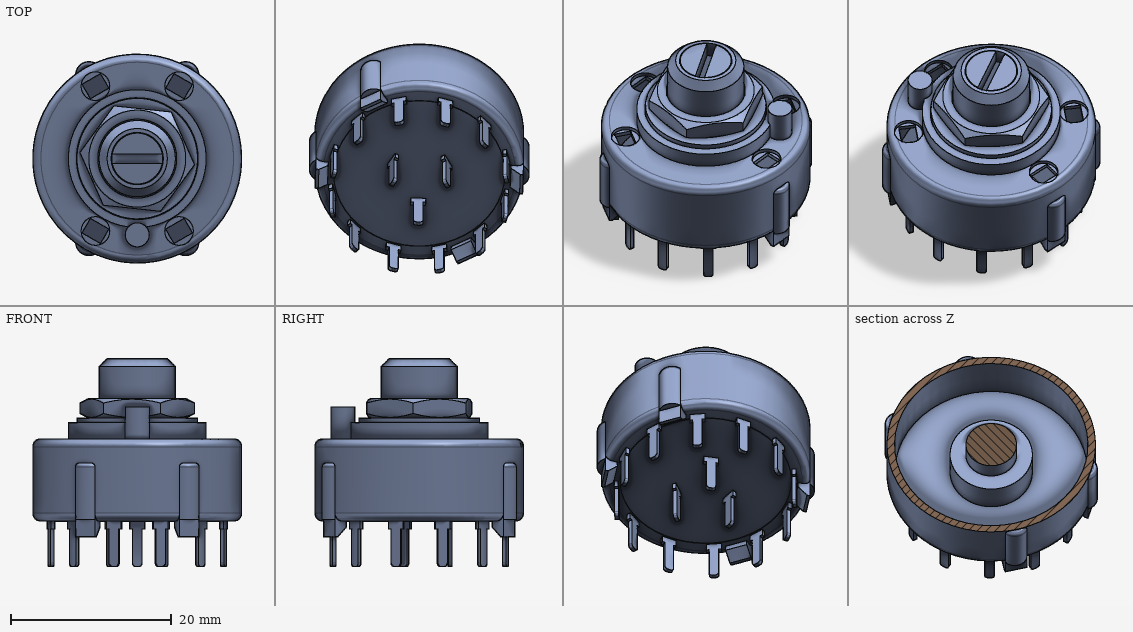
import cadquery as cq
import math

case_dia = 26.0
case_height = 10.25
case_rounding = 1.0
wall = 1.0
base_step_dia = 21.32
base_step_height = 0.08

collar_dia = 17.15
collar_top = 12.25
bushing_dia = 9.5
bushing_top = 20.23
bushing_chamfer = 1.0
bore_dia = 6.5

boss_dia = 3.0
boss_top = 14.22
boss_y = -9.5

latch_angle = 60.0
latch_half_width = 1.4
latch_face_radius = 12.92
latch_skew = math.radians(6.2)
rib_outer_radius = 13.68
rib_bottom = 0.18
rib_top = 7.25
rib_rounding = 0.5
rib_depth = 1.82
hook_bottom = -1.95
hook_slope_top = -0.73
hook_top_depth = 1.55
hook_bottom_depth = 0.4

access_radius = 10.4
counterbore_dia = 3.55
counterbore_depth = 0.5
window_width = 2.65
window_length = 2.08

terminal_width = 1.2
terminal_thickness = 0.5
terminal_bottom = -5.67
terminal_tip_radius = 0.45
shoulder_width = 1.87
shoulder_height = 1.0
outer_terminals = 12
outer_terminal_radius = 11.1
outer_terminal_start = 15.0
common_terminals = 3
common_terminal_radius = 3.85
common_terminal_start = 90.0

shaft_dia = 6.35
rotor_dia = 10.25
rotor_top = 5.02
slot_width = 1.17
slot_depth = 2.0

washer_dia = 15.0
washer_recess_dia = 15.15
washer_bore_dia = 10.32
washer_thickness = 1.0
washer_top = 12.82

nut_sides = 6
nut_across_flats = 12.43
nut_height = 2.45
nut_bore_dia = 9.83
nut_turn = -6.1
nut_face_dia = 12.06
nut_chamfer_height = 0.57


def cylinder(diameter, bottom, top):
    """Upright cylinder on the Z axis between two heights."""
    return cq.Workplane("XY").workplane(offset=bottom).circle(diameter / 2).extrude(top - bottom)


def turned(shape, angle):
    """Shape rotated about the Z axis by an angle in degrees."""
    return shape.rotate((0, 0, 0), (0, 0, 1), angle)


def four_latch_places(shape):
    """Copies of a shape that points along +X, turned to one latch and mirrored to the other three."""
    first = turned(shape, latch_angle)
    pair = [first, first.mirror("YZ")]
    return pair + [place.mirror("XZ") for place in pair]


def latch_rib():
    """Upright rib with a round outer face, pointing along +X, its sides skewed to the face."""
    inner = latch_face_radius - rib_depth
    shift = rib_depth * math.tan(latch_skew)
    return (
        cq.Workplane("XY")
        .workplane(offset=rib_bottom)
        .moveTo(inner, -latch_half_width - shift)
        .lineTo(latch_face_radius, -latch_half_width)
        .threePointArc((rib_outer_radius, 0), (latch_face_radius, latch_half_width))
        .lineTo(inner, latch_half_width - shift)
        .close()
        .extrude(rib_top - rib_bottom)
        .faces(">Z")
        .edges("%CIRCLE")
        .fillet(rib_rounding)
    )


def latch_hook():
    """Flat-faced hook under the rib, its inner side sloping outward toward the tip."""
    shift = hook_top_depth * math.tan(latch_skew)
    inner = latch_face_radius - hook_top_depth
    block = (
        cq.Workplane("XY")
        .workplane(offset=hook_bottom)
        .polyline([
            (inner, -latch_half_width - shift),
            (latch_face_radius, -latch_half_width),
            (latch_face_radius, latch_half_width),
            (inner, latch_half_width - shift),
        ])
        .close()
        .extrude(rib_bottom - hook_bottom)
    )
    slope = (
        cq.Workplane("XZ")
        .polyline([
            (inner, hook_slope_top),
            (latch_face_radius - hook_bottom_depth, hook_bottom),
            (inner, hook_bottom),
        ])
        .close()
        .extrude(2 * latch_half_width, both=True)
    )
    return block.cut(slope)


def terminal():
    """Flat terminal with a wider shoulder, hanging down the Z axis, its broad faces square to X."""
    blade_height = -terminal_bottom
    blade = (
        cq.Workplane("XY")
        .box(terminal_thickness, terminal_width, blade_height, centered=(True, True, False))
        .translate((0, 0, terminal_bottom))
        .faces("<Z")
        .edges("|X")
        .fillet(terminal_tip_radius)
    )
    shoulder = (
        cq.Workplane("XY")
        .box(terminal_thickness, shoulder_width, shoulder_height, centered=(True, True, False))
        .translate((0, 0, -shoulder_height))
    )
    return blade.union(shoulder)


def terminal_ring(count, radius, start_angle):
    """Terminals evenly spaced on a circle, as a list."""
    placed = terminal().translate((radius, 0, 0))
    return [turned(placed, start_angle + i * 360 / count) for i in range(count)]


def access_hole():
    """Counterbore with a rectangular window below it, cut down to the inside of the case."""
    counterbore = (
        cq.Workplane("XY")
        .workplane(offset=case_height - counterbore_depth)
        .center(access_radius, 0)
        .circle(counterbore_dia / 2)
        .extrude(counterbore_depth)
    )
    window = (
        cq.Workplane("XY")
        .workplane(offset=case_height - wall)
        .center(access_radius, 0)
        .rect(window_length, window_width)
        .extrude(wall)
    )
    return counterbore.union(window)


def make_housing():
    """Case with its collar, bushing, boss, latches and terminals."""
    body = cylinder(case_dia, 0, case_height).edges().fillet(case_rounding)
    body = body.union(cylinder(base_step_dia, -base_step_height, wall))
    for latch in four_latch_places(latch_rib()) + four_latch_places(latch_hook()):
        body = body.union(latch)

    body = body.cut(cylinder(case_dia - 2 * wall, wall, case_height - wall))

    bushing = cylinder(bushing_dia, case_height, bushing_top).faces(">Z").edges().chamfer(bushing_chamfer)
    washer_recess = cylinder(washer_recess_dia, washer_top - washer_thickness, collar_top)
    collar = cylinder(collar_dia, case_height, collar_top).cut(washer_recess)
    boss = cylinder(boss_dia, case_height, boss_top).translate((0, boss_y, 0))
    body = body.union(collar).union(bushing).union(boss)
    body = body.cut(cylinder(bore_dia, case_height - wall, bushing_top))

    for hole in four_latch_places(access_hole()):
        body = body.cut(hole)
    for pin in terminal_ring(outer_terminals, outer_terminal_radius, outer_terminal_start):
        body = body.union(pin)
    for pin in terminal_ring(common_terminals, common_terminal_radius, common_terminal_start):
        body = body.union(pin)
    return body


def make_shaft():
    """Round shaft with a wide rotor inside the case and a screwdriver slot across its top."""
    slot = (
        cq.Workplane("XY")
        .box(shaft_dia, slot_width, slot_depth, centered=(True, True, False))
        .translate((0, 0, bushing_top - slot_depth))
    )
    rotor = cylinder(rotor_dia, wall, rotor_top)
    return rotor.union(cylinder(shaft_dia, rotor_top, bushing_top)).cut(slot)


def make_washer():
    """Flat ring resting in the recess of the collar."""
    bottom = washer_top - washer_thickness
    return cylinder(washer_dia, bottom, washer_top).cut(cylinder(washer_bore_dia, bottom, washer_top))


def make_nut():
    """Hexagon nut on the washer, its corners turned down by a cone at both faces."""
    corner_dia = nut_across_flats / math.cos(math.pi / nut_sides)
    top = washer_top + nut_height
    hexagon = (
        cq.Workplane("XY")
        .workplane(offset=washer_top)
        .polygon(nut_sides, corner_dia)
        .extrude(nut_height)
    )
    cone = (
        cylinder(corner_dia, washer_top, top)
        .edges()
        .chamfer(nut_chamfer_height, (corner_dia - nut_face_dia) / 2)
    )
    nut = hexagon.intersect(cone).cut(cylinder(nut_bore_dia, washer_top, top))
    return turned(nut, nut_turn)


housing = make_housing()
shaft = make_shaft()
washer = make_washer()
nut = make_nut()

result = cq.Compound.makeCompound([housing.val(), shaft.val(), washer.val(), nut.val()])